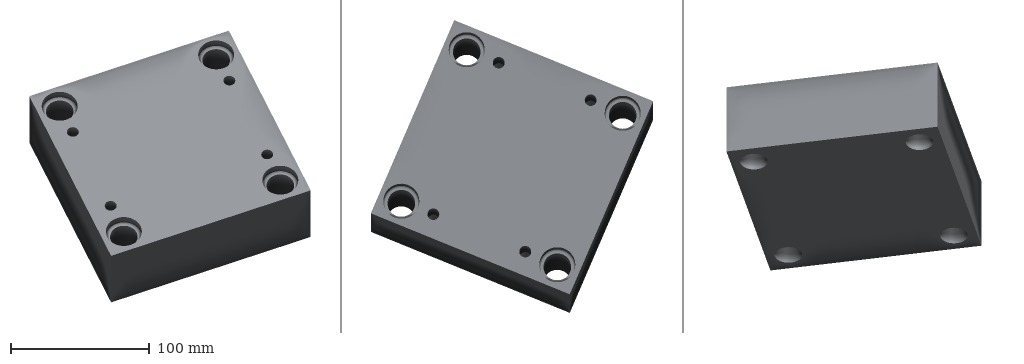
import cadquery as cq
import math

side = 155.7
height = 56.0

bolt_hole_diameter = 20.0
counterbore_diameter = 26.0
counterbore_depth = 6.4
bolt_offset = 61.0

drill_diameter = 8.5
drill_depth = 18.7
drill_point_angle = 118.0
drill_offset_x = 36.0


def mirrored_points(x, y):
    """Four points placed symmetrically about both centre lines."""
    return [(x_sign * x, y_sign * y) for x_sign in (-1, 1) for y_sign in (-1, 1)]


def drilled_hole():
    """Cutter with its mouth at the origin, pointing down to a conical tip."""
    radius = drill_diameter / 2
    tip_length = radius / math.tan(math.radians(drill_point_angle / 2))
    return (
        cq.Workplane("XZ")
        .lineTo(radius, 0)
        .lineTo(radius, -drill_depth)
        .lineTo(0, -drill_depth - tip_length)
        .close()
        .revolve(360, (0, 0, 0), (0, 1, 0))
    )


block = cq.Workplane("XY").box(side, side, height, centered=(True, True, False))

result = (
    block.faces(">Z")
    .workplane()
    .pushPoints(mirrored_points(bolt_offset, bolt_offset))
    .cboreHole(bolt_hole_diameter, counterbore_diameter, counterbore_depth)
)

for x, y in mirrored_points(drill_offset_x, bolt_offset):
    result = result.cut(drilled_hole().translate((x, y, height)))